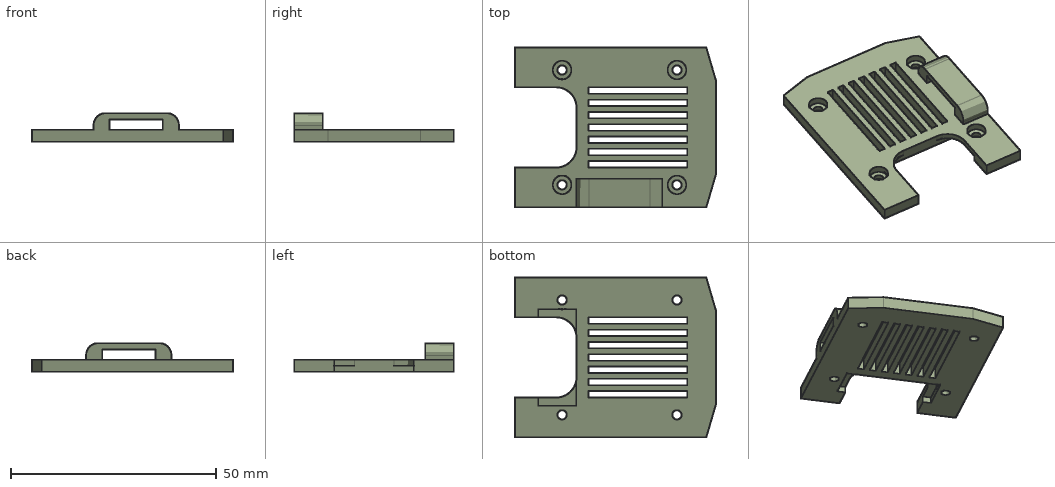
import cadquery as cq

LENGTH = 49.1
WIDTH = 39.0
THICKNESS = 3.0
CORNER_CUT_X = 2.4
CORNER_CUT_Y = 8.25
MID_Y = WIDTH / 2

NOTCH_DEPTH = 15.02
NOTCH_WIDTH = 19.5
NOTCH_RADIUS = 4.9

RECESS_START = 5.75
RECESS_HEIGHT = THICKNESS / 2
RECESS_SIDE = 2.0

SLOT_COUNT = 7
SLOT_PITCH = 3.0
SLOT_WIDTH = SLOT_PITCH / 2
SLOT_START = 18.0
SLOT_LENGTH = 24.0

HOLE_SPACING = 28.0
HOLE_CENTER_X = 25.55
HOLE_DIAMETER = 2.2
COUNTERBORE_DIAMETER = 4.5
COUNTERBORE_DEPTH = 1.75

LOOP_START = NOTCH_DEPTH
LOOP_LENGTH = 20.85
LOOP_DEPTH = 7.0
LOOP_HEIGHT = 7.0 - THICKNESS
LOOP_RADIUS = 3.0
WINDOW_LENGTH = 12.9
WINDOW_HEIGHT = 2.4


def box(x, y, z, length, width, height):
    """Box with its lowest corner at (x, y, z)."""
    return cq.Workplane("XY").box(length, width, height, centered=False).translate((x, y, z))


def make_plate():
    """Flat plate with both right-hand corners cut off."""
    outline = [
        (0, 0),
        (LENGTH - CORNER_CUT_X, 0),
        (LENGTH, CORNER_CUT_Y),
        (LENGTH, WIDTH - CORNER_CUT_Y),
        (LENGTH - CORNER_CUT_X, WIDTH),
        (0, WIDTH),
    ]
    return cq.Workplane("XY").polyline(outline).close().extrude(THICKNESS)


def make_notch():
    """Through cutter with rounded inner corners, plus the square recess under it."""
    notch = box(0, MID_Y - NOTCH_WIDTH / 2, 0, NOTCH_DEPTH, NOTCH_WIDTH, THICKNESS)
    notch = notch.edges("|Z and >X").fillet(NOTCH_RADIUS)
    recess_width = NOTCH_WIDTH + 2 * RECESS_SIDE
    recess = box(
        RECESS_START, MID_Y - recess_width / 2, 0,
        NOTCH_DEPTH - RECESS_START, recess_width, RECESS_HEIGHT,
    )
    return notch.union(recess)


def make_slots():
    """Row of equal slots centred across the plate width."""
    return (
        cq.Workplane("XY")
        .center(SLOT_START + SLOT_LENGTH / 2, MID_Y)
        .rarray(0.5, SLOT_PITCH, 1, SLOT_COUNT)
        .rect(SLOT_LENGTH, SLOT_WIDTH)
        .extrude(THICKNESS)
    )


def drill_screw_holes(plate):
    """Four holes counterbored from the top face."""
    return (
        plate.faces(">Z")
        .workplane(origin=(HOLE_CENTER_X, MID_Y, THICKNESS))
        .rarray(HOLE_SPACING, HOLE_SPACING, 2, 2)
        .cboreHole(HOLE_DIAMETER, COUNTERBORE_DIAMETER, COUNTERBORE_DEPTH)
    )


def make_loop():
    """Raised bridge with rounded shoulders and a window along Y."""
    loop = box(LOOP_START, 0, THICKNESS, LOOP_LENGTH, LOOP_DEPTH, LOOP_HEIGHT)
    loop = loop.faces(">Z").edges("|Y").fillet(LOOP_RADIUS)
    window_start = LOOP_START + (LOOP_LENGTH - WINDOW_LENGTH) / 2
    return loop.cut(box(window_start, 0, THICKNESS, WINDOW_LENGTH, LOOP_DEPTH, WINDOW_HEIGHT))


plate = drill_screw_holes(make_plate())
plate = plate.cut(make_notch()).cut(make_slots())
result = plate.union(make_loop())